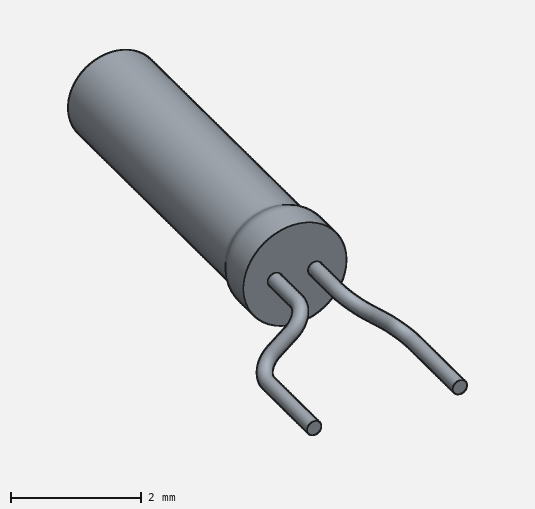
import cadquery as cq
import math

body_radius = 1.6 / 2
collar_radius = 1.8 / 2
end_face_radius = 1.4 / 2
can_length = 5.99
flare_start = 5.175
flare_middle = 5.28
flare_end = 5.5

lead_radius = 0.25 / 2
overall_length = 9
overall_width = 2.79
lead_root_y = 0.35
first_bend_x = 6.7
bend_radius = 0.405
lead_embed = 0.09

lead_tip_y = overall_width / 2 - lead_radius
lead_drop = collar_radius - lead_radius


def make_can():
    """Revolve the can profile about X."""
    edge_radius = body_radius - end_face_radius
    edge_mid = edge_radius * (1 - math.sqrt(0.5))

    half_angle = math.atan((collar_radius - body_radius) / (flare_end - flare_start))
    middle_radius = body_radius + (flare_middle - flare_start) * math.tan(half_angle)

    profile = (
        cq.Workplane("XY")
        .lineTo(0, end_face_radius)
        .threePointArc((edge_mid, body_radius - edge_mid), (edge_radius, body_radius))
        .lineTo(flare_start, body_radius)
        .tangentArcPoint((flare_middle, middle_radius), relative=False)
        .tangentArcPoint((flare_end, collar_radius), relative=False)
        .lineTo(can_length, collar_radius)
        .lineTo(can_length, 0)
        .close()
    )
    return profile.revolve(360, (0, 0, 0), (1, 0, 0))


def make_lead(side):
    """Sweep one lead; side is +1 or -1 along Y."""
    offset_y = lead_tip_y - lead_root_y
    offset = math.hypot(offset_y, lead_drop)
    outward = cq.Vector(0, side * offset_y, -lead_drop).normalized()

    normal = cq.Vector(1, 0, 0).cross(outward)
    path_plane = cq.Plane(origin=(0, side * lead_root_y, 0), xDir=(1, 0, 0), normal=normal.toTuple())
    start_x = can_length - lead_embed
    riser_x = first_bend_x + bend_radius
    path = (
        cq.Workplane(path_plane)
        .moveTo(start_x, 0)
        .lineTo(first_bend_x, 0)
        .tangentArcPoint((riser_x, bend_radius), relative=False)
        .lineTo(riser_x, offset - bend_radius)
        .tangentArcPoint((riser_x + bend_radius, offset), relative=False)
        .lineTo(overall_length, offset)
    )
    section = cq.Workplane("YZ", origin=(start_x, side * lead_root_y, 0)).circle(lead_radius)
    return section.sweep(path)


result = make_can()
for lead_side in (-1, 1):
    result = result.union(make_lead(lead_side))